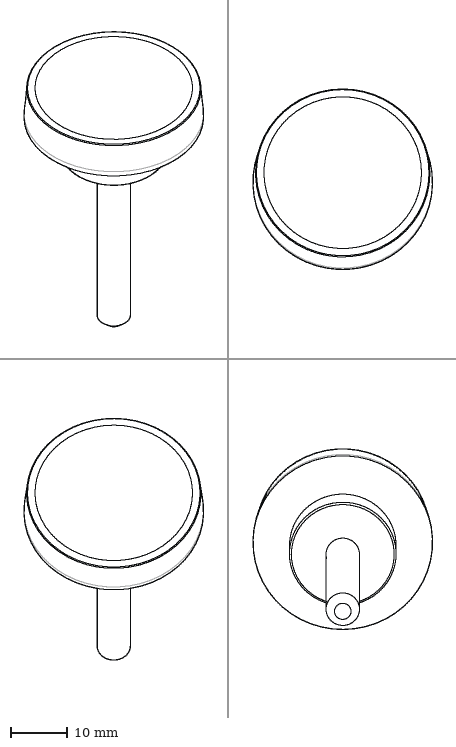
import cadquery as cq

total_height = 58.0

shaft_radius = 6.0 / 2
tip_chamfer = 1.5

hub_radius = 19.0 / 2
hub_bottom = 39.9
hub_chamfer = 0.35

head_radius = 32.0 / 2
hub_top = 45.95
head_bottom = 48.0
band_top = 49.0
rim_height = 54.9
rim_radius = 15.55
rim_chamfer = 0.2

dome_radius = 14.05
dome_rise = total_height - rim_height
dome_sphere_radius = (dome_radius**2 + dome_rise**2) / (2 * dome_rise)
dome_center_height = total_height - dome_sphere_radius


def make_shaft():
    """Plain pin with a chamfered tip, ending inside the hub."""
    return (
        cq.Workplane("XY")
        .circle(shaft_radius)
        .extrude(hub_top)
        .faces("<Z")
        .chamfer(tip_chamfer)
    )


def make_knob():
    """Hub, flared head and domed top, revolved about the Z axis."""
    half_dome_radius = dome_radius / 2
    half_dome_height = dome_center_height + (dome_sphere_radius**2 - half_dome_radius**2) ** 0.5
    return (
        cq.Workplane("XZ")
        .moveTo(0, hub_bottom)
        .lineTo(hub_radius - hub_chamfer, hub_bottom)
        .lineTo(hub_radius, hub_bottom + hub_chamfer)
        .lineTo(hub_radius, hub_top)
        .lineTo(head_radius, head_bottom)
        .lineTo(head_radius, band_top)
        .lineTo(rim_radius, rim_height - rim_chamfer)
        .lineTo(rim_radius - rim_chamfer, rim_height)
        .lineTo(dome_radius, rim_height)
        .threePointArc((half_dome_radius, half_dome_height), (0, total_height))
        .close()
        .revolve(360, (0, 0, 0), (0, 1, 0))
    )


result = make_knob().union(make_shaft())